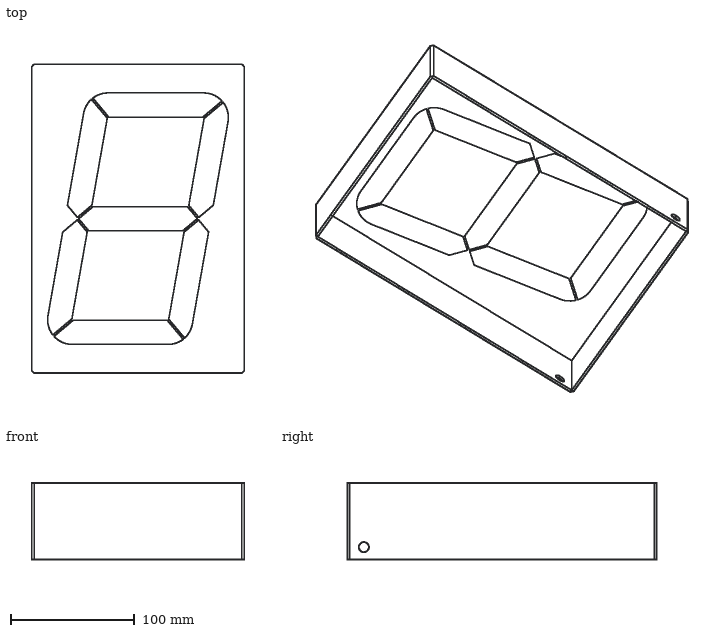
import cadquery as cq
import math

HOUSING_X = 172.0
HOUSING_Y = 250.0
HOUSING_Z = 62.0
WALL = 2.0
CORNER_CHAMFER = 2.0

CABLE_HOLE_DIAMETER = 8.0
CABLE_HOLE_Y = -111.75
CABLE_HOLE_Z = 10.0

SLANT = math.radians(10.0)
STROKE = 21.0
GAP = 1.5
DIGIT_HALF_HEIGHT = 92.0
DIGIT_HALF_WIDTH = 49.1
DIGIT_CORNER_RADIUS = 20.0

HALF_STROKE = STROKE / 2
HALF_GAP = GAP / 2
HALF_STROKE_X = HALF_STROKE / math.cos(SLANT)
SEGMENT_BASE_Z = HOUSING_Z - WALL


def slanted_outline(corners):
    """Closed outline at the underside of the top plate, its upright corners moved over by the lean."""
    points = [(x + y * math.tan(SLANT), y) for x, y in corners]
    return cq.Workplane("XY", origin=(0, 0, SEGMENT_BASE_Z)).polyline(points).close()


def digit_outline():
    """Rounded parallelogram that bounds the whole digit."""
    half_x = DIGIT_HALF_WIDTH + HALF_STROKE_X - HALF_GAP / math.cos(SLANT)
    half_y = DIGIT_HALF_HEIGHT + HALF_STROKE - HALF_GAP
    corners = [(-half_x, -half_y), (half_x, -half_y), (half_x, half_y), (-half_x, half_y)]
    return slanted_outline(corners).extrude(WALL).edges("|Z").fillet(DIGIT_CORNER_RADIUS)


def trimmed_segment(corners):
    """Segment set back by half a gap on every side and trimmed to the digit's rounded corners."""
    blank = slanted_outline(corners).offset2D(-HALF_GAP).extrude(WALL)
    return blank.intersect(digit_outline())


def end_segment(side):
    """Top (side = 1) or bottom (side = -1) segment, mitred at both ends."""
    inner_x = DIGIT_HALF_WIDTH - HALF_STROKE_X
    outer_x = DIGIT_HALF_WIDTH + HALF_STROKE_X
    inner_y = side * (DIGIT_HALF_HEIGHT - HALF_STROKE)
    outer_y = side * (DIGIT_HALF_HEIGHT + HALF_STROKE)
    return trimmed_segment([
        (-inner_x, inner_y),
        (inner_x, inner_y),
        (outer_x, outer_y),
        (-outer_x, outer_y),
    ])


def middle_segment():
    """Middle segment, pointed at both ends."""
    shoulder_x = DIGIT_HALF_WIDTH - HALF_STROKE_X
    return trimmed_segment([
        (-DIGIT_HALF_WIDTH, 0),
        (-shoulder_x, -HALF_STROKE),
        (shoulder_x, -HALF_STROKE),
        (DIGIT_HALF_WIDTH, 0),
        (shoulder_x, HALF_STROKE),
        (-shoulder_x, HALF_STROKE),
    ])


def upright_segment(side_x, side_y):
    """Upright segment, pointed at the digit's middle and mitred at its far end."""
    inner_x = side_x * (DIGIT_HALF_WIDTH - HALF_STROKE_X)
    outer_x = side_x * (DIGIT_HALF_WIDTH + HALF_STROKE_X)
    return trimmed_segment([
        (side_x * DIGIT_HALF_WIDTH, 0),
        (inner_x, side_y * HALF_STROKE),
        (inner_x, side_y * (DIGIT_HALF_HEIGHT - HALF_STROKE)),
        (outer_x, side_y * (DIGIT_HALF_HEIGHT + HALF_STROKE)),
        (outer_x, side_y * HALF_STROKE),
    ])


def housing_with_openings(segments):
    """Open-bottomed box with the cable hole and one opening per segment in its top plate."""
    body = (
        cq.Workplane("XY")
        .box(HOUSING_X, HOUSING_Y, HOUSING_Z, centered=(True, True, False))
        .edges("|Z")
        .chamfer(CORNER_CHAMFER)
    )
    cavity = cq.Workplane("XY").box(
        HOUSING_X - 2 * WALL, HOUSING_Y - 2 * WALL, SEGMENT_BASE_Z, centered=(True, True, False)
    )
    cable_hole = (
        cq.Workplane("YZ")
        .center(CABLE_HOLE_Y, CABLE_HOLE_Z)
        .circle(CABLE_HOLE_DIAMETER / 2)
        .extrude(HOUSING_X / 2, both=True)
    )
    body = body.cut(cavity).cut(cable_hole)
    for segment in segments:
        body = body.cut(segment)
    return body


segments = [end_segment(side) for side in (-1, 1)]
segments.append(middle_segment())
for side_x in (-1, 1):
    for side_y in (-1, 1):
        segments.append(upright_segment(side_x, side_y))

housing = housing_with_openings(segments)

result = cq.Compound.makeCompound([
    housing.solids().val(),
    *[segment.solids().val() for segment in segments],
])